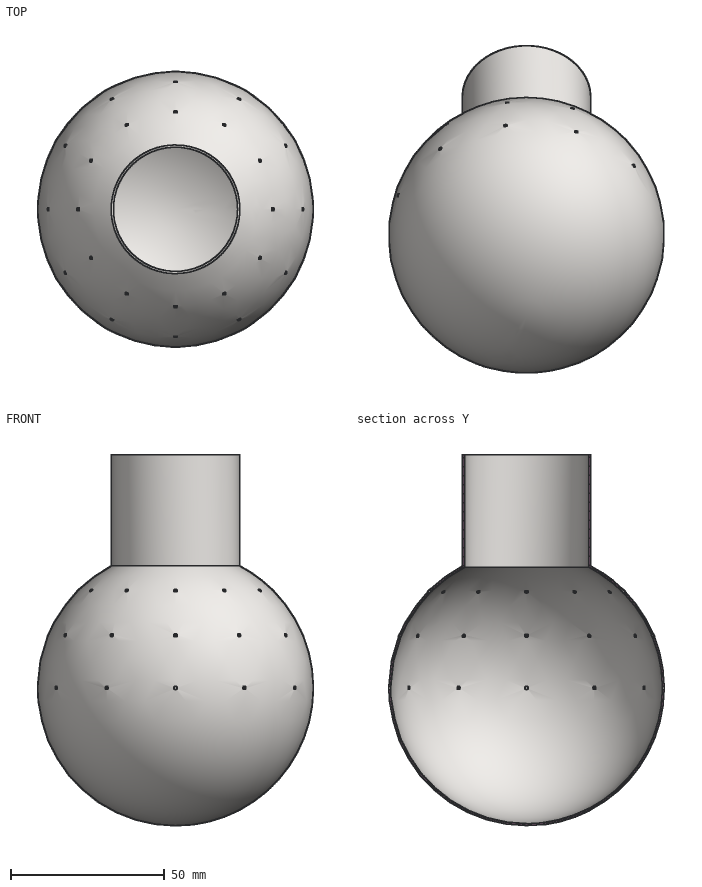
import cadquery as cq
import math

BALL_DIAMETER = 90.0
NECK_OUTER_DIAMETER = 42.0
NECK_INNER_DIAMETER = 40.5
NECK_TOP_Z = 76.06

HOLE_DIAMETER = 1.0
HOLE_ELEVATIONS = (0.0, 22.5, 45.0)
HOLES_PER_RING = 12

WALL = (NECK_OUTER_DIAMETER - NECK_INNER_DIAMETER) / 2
BALL_RADIUS = BALL_DIAMETER / 2
CAVITY_RADIUS = BALL_RADIUS - WALL
DRILL_START = CAVITY_RADIUS - WALL
DRILL_LENGTH = 3 * WALL


def ball_with_neck(ball_radius, neck_diameter):
    """Solid ball with a cylinder rising from its centre to the neck rim."""
    ball = cq.Workplane("XY").sphere(ball_radius)
    neck = cq.Workplane("XY").circle(neck_diameter / 2).extrude(NECK_TOP_Z)
    return ball.union(neck)


def radial_drill(azimuth, elevation):
    """Cylinder through the ball wall, aimed along a radius (angles in degrees)."""
    turn = math.radians(azimuth)
    rise = math.radians(elevation)
    direction = cq.Vector(
        math.cos(rise) * math.cos(turn),
        math.cos(rise) * math.sin(turn),
        math.sin(rise),
    )
    return cq.Solid.makeCylinder(HOLE_DIAMETER / 2, DRILL_LENGTH, direction * DRILL_START, direction)


def spray_drills():
    """All drills, evenly spaced around the Z axis on every ring."""
    spacing = 360.0 / HOLES_PER_RING
    drills = []
    for elevation in HOLE_ELEVATIONS:
        for index in range(HOLES_PER_RING):
            drills.append(radial_drill(index * spacing, elevation))
    return cq.Compound.makeCompound(drills)


shell = ball_with_neck(BALL_RADIUS, NECK_OUTER_DIAMETER).cut(
    ball_with_neck(CAVITY_RADIUS, NECK_INNER_DIAMETER)
)
result = shell.cut(cq.Workplane(obj=spray_drills()))